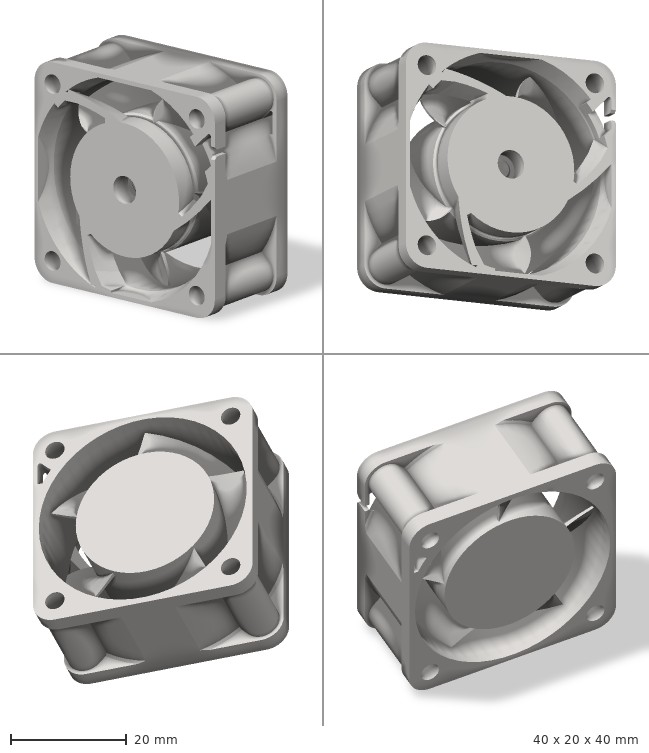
import cadquery as cq
import math


SIDE = 40.0
DEPTH = 20.0
FLANGE = 3.0
CORNER_RADIUS = 4.0
HALF = SIDE / 2
FRONT = -DEPTH / 2
REAR = DEPTH / 2
FLANGE_BACK = FRONT + FLANGE

HOLE_OFFSET = 16.0
HOLE_DIAMETER = 3.5
POST_RADIUS = 3.3

CASING_RADIUS = 20.6
FLARE = 0.45

BORE_RADIUS = 18.9
INLET_RADIUS = 20.1
INLET_DEPTH = 3.9
INLET_HALF_WIDTH = 19.2

BASE_RADIUS = 12.1
BASE_DEPTH = 4.0
BASE_BACK = FRONT + BASE_DEPTH
BASE_HOLE_RADIUS = 2.5

STRUT_COUNT = 3
STRUT_TWIST = 7.5
FOOT_INNER_RADIUS = 19.05
FOOT_OUTER_RADIUS = 20.25
FOOT_START = 131.0
FOOT_END = 141.0

CABLE_FOOT_START = 20.0
CABLE_FOOT_END = 40.7
CABLE_UPPER_LINE = 4.7
CABLE_LOWER_LINE = 10.95
CABLE_WALL = 0.9
CABLE_LEDGE_DEPTH = 2.0
CABLE_LEDGE_INNER_RADIUS = 18.0
CABLE_CORNER_RADIUS = 0.4
CABLE_REAR_BOTTOM = 9.5
SLOT_TOP = 11.1
SLOT_BOTTOM = 9.85
SLOT_LEAD_IN = 0.5

ROTOR_GAP = 0.5
ROTOR_FRONT = BASE_BACK + ROTOR_GAP
ROTOR_REAR = 8.8
HUB_RADIUS = 12.6
HUB_CHAMFER = 0.3
BOSS_RADIUS = 1.95
BOSS_TOP_RADIUS = 1.5
BOSS_HEIGHT = 0.4
SHAFT_RADIUS = 1.0
SHAFT_HEIGHT = 0.5

BLADE_COUNT = 5
BLADE_FRONT = -5.8
BLADE_REAR = 8.2
BLADE_THICKNESS = 0.9
BLADE_TIP_RADIUS = 18.4
BLADE_ROOT_RADIUS = 12.1
BLADE_TRIM = 0.8
BLADE_REAR_ANGLE = 80.0
BLADE_TWIST = 70.0
LEADING_TIP_ANGLE = 142.5
LEADING_MID_ANGLE = 148.3
LEADING_ROOT_ANGLE = 147.0
TRAILING_TIP_ANGLE = 88.0
TRAILING_ROOT_ANGLE = 80.0


def sketch_plane(y):
    """Sketch plane at depth y, with local axes X and Z, that extrudes toward -Y."""
    return cq.Workplane("XZ", origin=(0, y, 0))


def polar(radius, angle):
    return (radius * math.cos(math.radians(angle)), radius * math.sin(math.radians(angle)))


def turned(body, angle):
    return body.rotate((0, 0, 0), (0, -1, 0), angle)


def disc(radius, front, rear):
    return sketch_plane(rear).circle(radius).extrude(rear - front)


def square(half_width, front, rear):
    return sketch_plane(rear).rect(2 * half_width, 2 * half_width).extrude(rear - front)


def cone(front_radius, rear_radius, front, rear):
    base = cq.Vector(0, front, 0)
    axis = cq.Vector(0, 1, 0)
    return cq.Workplane(cq.Solid.makeCone(front_radius, rear_radius, rear - front, base, axis))


def sector(inner, outer, start, end, front, rear):
    """Part of a ring between two angles."""
    middle = (start + end) / 2
    return (
        sketch_plane(rear)
        .moveTo(*polar(inner, start))
        .lineTo(*polar(outer, start))
        .threePointArc(polar(outer, middle), polar(outer, end))
        .lineTo(*polar(inner, end))
        .threePointArc(polar(inner, middle), polar(inner, start))
        .close()
        .extrude(rear - front)
    )


def make_flange(front):
    return square(HALF, front, front + FLANGE).edges("|Y").fillet(CORNER_RADIUS)


def make_casing():
    """Round casing with four flats, flared where it meets the front flange."""
    flare = cone(CASING_RADIUS + FLARE, CASING_RADIUS, FLANGE_BACK, FLANGE_BACK + FLARE)
    round_casing = disc(CASING_RADIUS, FRONT, REAR).union(flare)
    return round_casing.intersect(square(HALF, FRONT, REAR))


def make_post():
    """Round post in the +X +Z corner, joined to the casing by a web of the same width."""
    web_length = HOLE_OFFSET / 2
    post = sketch_plane(REAR).center(HOLE_OFFSET, HOLE_OFFSET).circle(POST_RADIUS).extrude(DEPTH)
    web = (
        sketch_plane(REAR)
        .center(HOLE_OFFSET, HOLE_OFFSET)
        .transformed(rotate=(0, 0, 45))
        .center(-web_length / 2, 0)
        .rect(web_length, 2 * POST_RADIUS)
        .extrude(DEPTH)
    )
    return post.union(web)


def make_screw_holes():
    return (
        sketch_plane(REAR)
        .rect(2 * HOLE_OFFSET, 2 * HOLE_OFFSET, forConstruction=True)
        .vertices()
        .circle(HOLE_DIAMETER / 2)
        .extrude(DEPTH)
    )


def make_air_passage():
    """Straight bore with a conical inlet that is cut flat near the four sides."""
    inlet = cone(INLET_RADIUS, BORE_RADIUS, FRONT, FRONT + INLET_DEPTH)
    inlet = inlet.intersect(square(INLET_HALF_WIDTH, FRONT, REAR))
    return disc(BORE_RADIUS, FRONT, REAR).union(inlet)


def make_shell():
    shell = make_flange(FRONT).union(make_casing()).union(make_flange(REAR - FLANGE))
    for quarter in range(4):
        shell = shell.union(turned(make_post(), 90 * quarter))
    return shell.cut(make_screw_holes()).cut(make_air_passage())


def make_strut():
    """Curved arm that leans counterclockwise toward the back, with its foot."""
    arm = (
        sketch_plane(BASE_BACK)
        .moveTo(-12.4, 15.75)
        .threePointArc((-6.0, 14.15), (-0.6, 11.9))
        .lineTo(-2.0, 10.0)
        .lineTo(-4.35, 11.2)
        .lineTo(-4.35, 12.15)
        .threePointArc((-7.4, 13.05), (-10.5, 13.6))
        .lineTo(-13.5, 13.6)
        .close()
        .twistExtrude(BASE_DEPTH, -STRUT_TWIST)
    )
    foot = sector(FOOT_INNER_RADIUS, FOOT_OUTER_RADIUS, FOOT_START, FOOT_END, FRONT, BASE_BACK)
    return turned(arm, STRUT_TWIST).union(foot)


def make_motor_base():
    base = disc(BASE_RADIUS, FRONT, BASE_BACK)
    strut = make_strut()
    for i in range(STRUT_COUNT):
        base = base.union(turned(strut, 360 / STRUT_COUNT * i))
    cable_foot = sector(
        FOOT_INNER_RADIUS, FOOT_OUTER_RADIUS, CABLE_FOOT_START, CABLE_FOOT_END, FRONT, BASE_BACK
    )
    base = base.union(cable_foot).intersect(square(HALF, FRONT, BASE_BACK))
    return base.cut(disc(BASE_HOLE_RADIUS, FRONT, BASE_BACK))


def make_cable_pocket(front, rear):
    """Diagonal pocket that ends at the thin wall along the +X side."""
    inner_x = HALF / 2
    outer_x = HALF - CABLE_WALL
    return (
        sketch_plane(rear)
        .moveTo(inner_x, inner_x - CABLE_UPPER_LINE)
        .lineTo(outer_x, outer_x - CABLE_UPPER_LINE)
        .lineTo(outer_x, outer_x - CABLE_LOWER_LINE)
        .lineTo(inner_x, inner_x - CABLE_LOWER_LINE)
        .close()
        .extrude(rear - front)
        .edges("|Y and >X and >Z")
        .fillet(CABLE_CORNER_RADIUS)
    )


def make_cable_exit():
    """Ledge over the casing wall, window outside the casing, and slot to the +X side."""
    casing = disc(CASING_RADIUS, FRONT, REAR)
    ledge = make_cable_pocket(FRONT, FRONT + CABLE_LEDGE_DEPTH)
    ledge = ledge.cut(disc(CABLE_LEDGE_INNER_RADIUS, FRONT, REAR))
    front_window = make_cable_pocket(FRONT, FLANGE_BACK).cut(casing)
    above_rear_bottom = (
        cq.Workplane(origin=(0, 0, CABLE_REAR_BOTTOM)).rect(SIDE, DEPTH).extrude(HALF)
    )
    rear_window = make_cable_pocket(FLANGE_BACK, REAR).cut(casing).intersect(above_rear_bottom)
    slot = (
        cq.Workplane("YZ", origin=(HALF - CABLE_WALL, 0, 0))
        .moveTo(FRONT, SLOT_TOP + SLOT_LEAD_IN)
        .lineTo(FRONT + SLOT_LEAD_IN, SLOT_TOP)
        .lineTo(FLANGE_BACK, SLOT_TOP)
        .lineTo(FLANGE_BACK, SLOT_BOTTOM)
        .lineTo(FRONT + SLOT_LEAD_IN, SLOT_BOTTOM)
        .lineTo(FRONT, SLOT_BOTTOM - SLOT_LEAD_IN)
        .close()
        .extrude(CABLE_WALL)
    )
    return [ledge, front_window, rear_window, slot]


def make_frame():
    frame = make_shell().union(make_motor_base())
    for opening in make_cable_exit():
        frame = frame.cut(opening)
    return frame


def make_blade():
    """Helical blade, trimmed to its outline as seen along the axis."""
    bar_length = BLADE_TIP_RADIUS + BLADE_TRIM - BLADE_ROOT_RADIUS
    helix = (
        sketch_plane(BLADE_REAR)
        .transformed(rotate=(0, 0, BLADE_REAR_ANGLE))
        .pushPoints([(BLADE_ROOT_RADIUS + bar_length / 2, 0)])
        .rect(bar_length, BLADE_THICKNESS)
        .twistExtrude(BLADE_REAR - BLADE_FRONT, BLADE_TWIST)
    )
    trim_radius = BLADE_ROOT_RADIUS - BLADE_TRIM
    mid_radius = (BLADE_ROOT_RADIUS + BLADE_TIP_RADIUS) / 2
    tip_middle = polar(BLADE_TIP_RADIUS, (LEADING_TIP_ANGLE + TRAILING_TIP_ANGLE) / 2)
    root_middle = polar(trim_radius, (LEADING_ROOT_ANGLE + TRAILING_ROOT_ANGLE) / 2)
    outline = (
        sketch_plane(REAR)
        .moveTo(*polar(BLADE_TIP_RADIUS, TRAILING_TIP_ANGLE))
        .threePointArc(tip_middle, polar(BLADE_TIP_RADIUS, LEADING_TIP_ANGLE))
        .threePointArc(polar(mid_radius, LEADING_MID_ANGLE), polar(trim_radius, LEADING_ROOT_ANGLE))
        .threePointArc(root_middle, polar(trim_radius, TRAILING_ROOT_ANGLE))
        .close()
        .extrude(DEPTH)
    )
    return helix.intersect(outline)


def make_rotor():
    rotor = disc(HUB_RADIUS, ROTOR_FRONT, ROTOR_REAR).faces("<Y").chamfer(HUB_CHAMFER)
    rotor = rotor.union(cone(BOSS_TOP_RADIUS, BOSS_RADIUS, ROTOR_FRONT - BOSS_HEIGHT, ROTOR_FRONT))
    rotor = rotor.union(disc(SHAFT_RADIUS, ROTOR_FRONT - SHAFT_HEIGHT, ROTOR_FRONT))
    blade = make_blade()
    for i in range(BLADE_COUNT):
        rotor = rotor.union(turned(blade, 360 / BLADE_COUNT * i))
    return rotor


frame = make_frame()
rotor = make_rotor()
result = cq.Compound.makeCompound([frame.val(), rotor.val()])